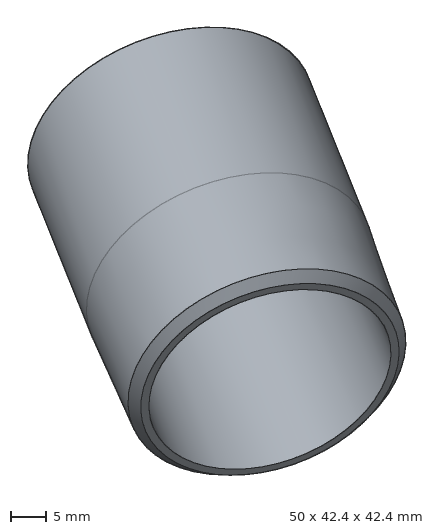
import cadquery as cq

length = 50.0
outer_diameter = 42.4
bore_diameter = 35.9

plain_chamfer = 0.15

taper_start = 29.65
diameter_taper = 1 / 16

tip_chamfer_length = 1.5
tip_chamfer_depth = 1.45

outer_radius = outer_diameter / 2
bore_radius = bore_diameter / 2
taper_end = length - tip_chamfer_length
taper_end_radius = outer_radius - diameter_taper / 2 * (taper_end - taper_start)
tip_radius = taper_end_radius - tip_chamfer_depth

wall_section = (
    cq.Workplane("XZ")
    .moveTo(0, bore_radius)
    .lineTo(0, outer_radius - plain_chamfer)
    .lineTo(plain_chamfer, outer_radius)
    .lineTo(taper_start, outer_radius)
    .lineTo(taper_end, taper_end_radius)
    .lineTo(length, tip_radius)
    .lineTo(length, bore_radius)
    .close()
)

result = wall_section.revolve(360, (0, 0, 0), (1, 0, 0))